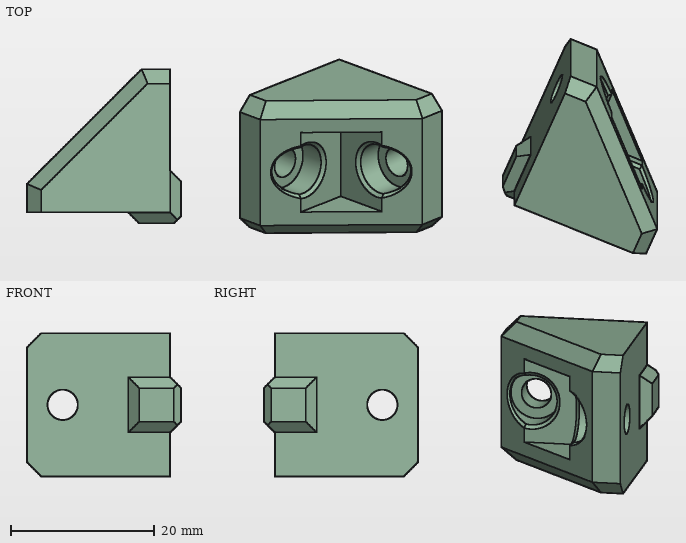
import cadquery as cq

size = 20.0
clearance = 0.05
end_width = 4.0
edge_chamfer = 2.0

notch_near = 8.0
notch_far = 16.0
notch_height = 12.0

hole_diameter = 4.2
bore_diameter = 7.2
hole_offset = 15.0
seat_thickness = 4.0
bore_chamfer = 0.5

key_height = 1.5
key_length = 5.85
key_half_width = 3.85
key_corner_chamfer = 1.0

corner = size
mid_z = size / 2
key_reach = corner + key_height


def make_body():
    outline = [
        (0, clearance),
        (corner - clearance, clearance),
        (corner - clearance, size),
        (corner - end_width, size),
        (0, end_width),
    ]
    body = cq.Workplane("XY").polyline(outline).close().extrude(size)
    slope_run = corner - end_width
    beveled_faces = [
        (cq.Vector(-1, 1, 0).normalized(), (slope_run / 2, end_width + slope_run / 2, mid_z)),
        (cq.Vector(-1, 0, 0), (0, 0, mid_z)),
        (cq.Vector(0, 1, 0), (corner, size, mid_z)),
    ]
    for outward, point in beveled_faces:
        for z_side in (-1, 1):
            body = body.cut(make_rim_wedge(outward, point, z_side))
    return body


def make_rim_wedge(outward, point, z_side):
    """Triangular bar that bevels the top or bottom edge of the outer face through a point."""
    along = cq.Vector(outward.y, -outward.x, 0)
    face = cq.Plane(origin=point, xDir=outward, normal=along)
    rim = z_side * size / 2
    triangle = [(0, rim), (-edge_chamfer, rim), (0, rim - z_side * edge_chamfer)]
    return cq.Workplane(face).polyline(triangle).close().extrude(2 * size, both=True)


def make_notch():
    depth = notch_far - notch_near
    return cq.Workplane("XY").box(depth, depth, notch_height).translate(
        (corner - (notch_near + notch_far) / 2, (notch_near + notch_far) / 2, mid_z)
    )


def hole_planes():
    """Planes on the two screw seats, facing out through the sloping side."""
    across_y = cq.Plane(
        origin=(corner - hole_offset, seat_thickness, mid_z), xDir=(1, 0, 0), normal=(0, 1, 0)
    )
    across_x = cq.Plane(
        origin=(corner - seat_thickness, hole_offset, mid_z), xDir=(0, 1, 0), normal=(-1, 0, 0)
    )
    return [across_y, across_x]


def drill(body, plane):
    """Drill one screw hole and counterbore, then bevel the bore's oval mouth in the sloping face."""
    drilled = body.cut(cq.Workplane(plane).circle(bore_diameter / 2).extrude(2 * size))
    drilled = drilled.cut(cq.Workplane(plane).circle(hole_diameter / 2).extrude(-size))
    return drilled.edges("%ELLIPSE").chamfer(bore_chamfer)


def make_floor_bevel(plane):
    """Cone that bevels the bore's mouth in the notch floor."""
    depth = notch_near - seat_thickness
    return (
        cq.Workplane(plane)
        .workplane(offset=depth - bore_chamfer)
        .circle(bore_diameter / 2)
        .workplane(offset=bore_chamfer)
        .circle(bore_diameter / 2 + bore_chamfer)
        .loft()
    )


def make_key():
    plan = [
        (corner - key_length, clearance),
        (corner - key_length, 0),
        (corner - key_length + key_height, -key_height),
        (key_reach - key_corner_chamfer, -key_height),
        (key_reach, key_corner_chamfer - key_height),
        (key_reach, key_length - key_height),
        (corner, key_length),
        (corner - clearance, key_length),
        (corner - clearance, clearance),
    ]
    tip_half_width = key_half_width - key_height
    taper = [
        (-key_length, -key_half_width),
        (0, -key_half_width),
        (key_height, -tip_half_width),
        (key_height, tip_half_width),
        (0, key_half_width),
        (-key_length, key_half_width),
    ]
    key = cq.Workplane("XY").polyline(plan).close().extrude(size)
    out_x = cq.Plane(origin=(corner, 0, mid_z), xDir=(1, 0, 0), normal=(0, -1, 0))
    out_y = cq.Plane(origin=(corner, 0, mid_z), xDir=(0, -1, 0), normal=(-1, 0, 0))
    for plane in (out_x, out_y):
        key = key.intersect(cq.Workplane(plane).polyline(taper).close().extrude(size, both=True))
    return key


blank = make_body()
across_y, across_x = hole_planes()
body = drill(blank, across_y).intersect(drill(blank, across_x)).cut(make_notch())
for plane in (across_y, across_x):
    body = body.cut(make_floor_bevel(plane))

result = body.union(make_key())